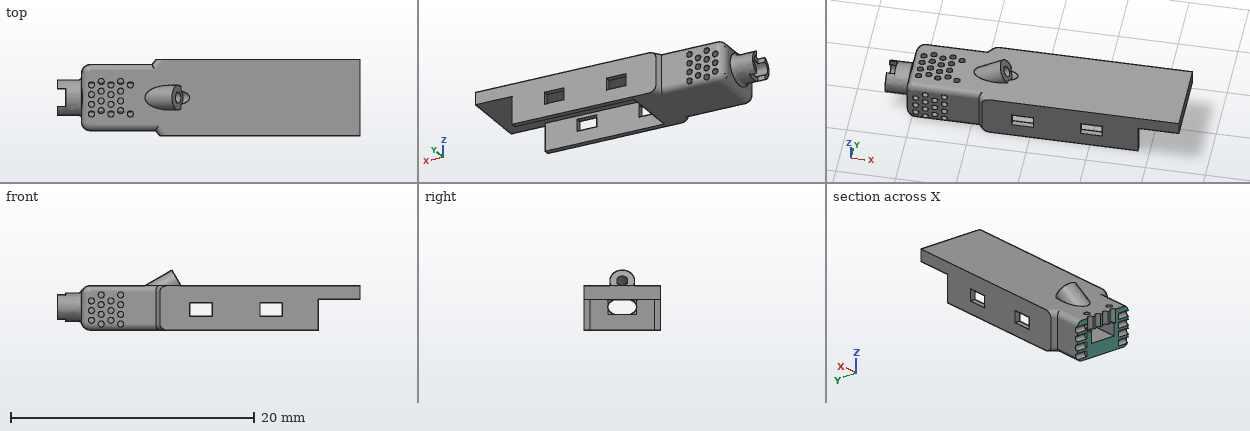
import cadquery as cq
import math

selection_margin = 0.02

length = 24.9
height = 3.68
wide_width = 6.3
head_width = 5.46
head_front = 1.97
shoulder_front = 8.09
shoulder_run = 0.33
shoulder_shift = 0.31
head_edge_radius = 0.53
front_edge_radius = 0.73

block_rear = 21.48
shelf_thickness = 1.13

axis_height = height - 1.77
nozzle_width = 2.92
nozzle_height = 2.34
nozzle_base_radius = 0.23
foot_margin = 0.22
foot_width = nozzle_width + 2 * foot_margin
foot_height = nozzle_height + 2 * foot_margin
bore_width = 2.38
bore_height = 1.48
tip_slot_width = 1.43
tip_slot_depth = 0.66

cavity_front = 10.4
wall_thickness = 0.5
channel_height = 1.2
channel_front = 2.45

window_length = 1.82
window_height = 1.08
window_bottom = 1.17
window_starts = (10.9, 16.67)

hole_diameter = 0.5
hole_pitch = 0.8
top_hole_depth = 1.25
side_hole_depth = 1.0
first_column_x = 2.8
top_row_odd = 1.05
top_row_even = 1.33
odd_columns = (0, 2)
even_columns = (1, 3)
last_column = 4
top_rows = 4
side_rows_odd = 3
side_rows_even = 4
side_row_odd = height - 1.26
side_row_even = height - 0.77

tube_tilt = 30
tube_diameter = 2.05
tube_bore = 0.9
tube_peak_x = 9.42
tube_peak_height = 4.96
tube_length = 2.8
tube_bore_depth = 3.6
relief_radius = 0.6
relief_tip_x = 10.87
relief_length = 2.0


def make_body():
    half_wide = wide_width / 2
    half_head = head_width / 2
    left_shoulder = shoulder_front - shoulder_shift
    outline = [
        (head_front, -half_head),
        (shoulder_front, -half_head),
        (shoulder_front + shoulder_run, -half_wide),
        (length, -half_wide),
        (length, half_wide),
        (left_shoulder + shoulder_run, half_wide),
        (left_shoulder, half_head),
        (head_front, half_head),
    ]
    body = cq.Workplane("XY").polyline(outline).close().extrude(height)
    body = body.faces("<X").edges().fillet(front_edge_radius)
    rim_end = shoulder_front + shoulder_run + selection_margin
    edge_zone = cq.selectors.BoxSelector(
        (head_front + front_edge_radius + selection_margin, -half_wide, -selection_margin),
        (rim_end, half_wide, height + selection_margin),
    )
    rims = body.faces("<Z or >Z").edges(edge_zone)
    return rims.fillet(head_edge_radius)


def ellipse_along_x(start, end, width, tall):
    plane = cq.Workplane("YZ", origin=(start, 0, axis_height))
    return plane.ellipse(width / 2, tall / 2).extrude(end - start)


def add_nozzle(body):
    """Oval nozzle that flares into a slightly larger oval foot on the rounded front."""
    backing = cq.Workplane("XY", origin=(head_front, 0, axis_height)).box(
        front_edge_radius, wide_width, wide_width, centered=(False, True, True)
    )
    nozzle = ellipse_along_x(0, channel_front, nozzle_width, nozzle_height).union(backing)
    base_zone = cq.selectors.BoxSelector(
        (head_front - selection_margin, -nozzle_width, axis_height - nozzle_height),
        (head_front + selection_margin, nozzle_width, axis_height + nozzle_height),
        boundingbox=True,
    )
    nozzle = nozzle.edges(base_zone).fillet(nozzle_base_radius)
    foot = ellipse_along_x(0, channel_front, foot_width, foot_height)
    return body.union(nozzle.intersect(foot))


def cut_passage(body):
    """Oval bore through the nozzle, tip slot and flat channel to the cavity."""
    body = body.cut(ellipse_along_x(0, channel_front, bore_width, bore_height))
    slot = cq.Workplane("XY").box(tip_slot_depth, tip_slot_width, height, centered=(False, True, False))
    channel = (
        cq.Workplane("XY", origin=(channel_front, 0, axis_height))
        .box(cavity_front - channel_front, bore_width, channel_height, centered=(False, True, True))
    )
    return body.cut(slot).cut(channel)


def cut_rear_step(body):
    step = cq.Workplane("XY", origin=(block_rear, 0, 0)).box(
        length - block_rear, wide_width, height - shelf_thickness, centered=(False, True, False)
    )
    return body.cut(step)


def cut_cavity(body):
    cavity = cq.Workplane("XY", origin=(cavity_front, 0, 0)).box(
        block_rear - cavity_front,
        wide_width - 2 * wall_thickness,
        height - shelf_thickness,
        centered=(False, True, False),
    )
    return body.cut(cavity)


def cut_windows(body):
    for start in window_starts:
        window = cq.Workplane("XY", origin=(start, 0, window_bottom)).box(
            window_length, wide_width, window_height, centered=(False, True, False)
        )
        body = body.cut(window)
    return body


def column_points(column, first, rows):
    """Hole centres down one column, spaced by the pitch."""
    x = first_column_x + column * hole_pitch
    return [(x, first - row * hole_pitch) for row in rows]


def cut_top_holes(body):
    points = []
    for column in odd_columns:
        points += column_points(column, top_row_odd, range(top_rows))
    for column in even_columns:
        points += column_points(column, top_row_even, range(top_rows))
    points += column_points(last_column, top_row_odd, (0, top_rows - 1))
    holes = (
        cq.Workplane("XY", origin=(0, 0, height - top_hole_depth))
        .pushPoints(points)
        .circle(hole_diameter / 2)
        .extrude(top_hole_depth)
    )
    return body.cut(holes)


def cut_side_holes(body):
    points = []
    for column in odd_columns:
        points += column_points(column, side_row_odd, range(side_rows_odd))
    for column in even_columns:
        points += column_points(column, side_row_even, range(side_rows_even))
    holes = (
        cq.Workplane("XZ", origin=(0, side_hole_depth - head_width / 2, 0))
        .pushPoints(points)
        .circle(hole_diameter / 2)
        .extrude(side_hole_depth)
    )
    return body.cut(holes).cut(holes.mirror("XZ"))


def tilted_cylinder(center_x, center_z, diameter, extent):
    """Cylinder from the given centre down the tilted axis, or up it for a negative extent."""
    tilt = math.radians(tube_tilt)
    plane = cq.Plane(
        origin=(center_x, 0, center_z),
        xDir=(0, 1, 0),
        normal=(-math.cos(tilt), 0, -math.sin(tilt)),
    )
    return cq.Workplane(plane).circle(diameter / 2).extrude(extent)


def add_tube(body):
    """Slanted tube, its bore and the relief groove in the top face in front of its mouth."""
    tilt = math.radians(tube_tilt)
    end_x = tube_peak_x + tube_diameter / 2 * math.sin(tilt)
    end_z = tube_peak_height - tube_diameter / 2 * math.cos(tilt)

    relief_entry_x = relief_tip_x - relief_radius / math.sin(tilt)
    along = (end_x - relief_entry_x) * math.cos(tilt) + (end_z - height) * math.sin(tilt)
    relief_x = relief_entry_x + along * math.cos(tilt)
    relief_z = height + along * math.sin(tilt)

    relief = tilted_cylinder(relief_x, relief_z, 2 * relief_radius, -relief_length)
    tube = tilted_cylinder(end_x, end_z, tube_diameter, tube_length)
    bore = tilted_cylinder(end_x, end_z, tube_bore, tube_bore_depth)
    return body.cut(relief).union(tube).cut(bore)


result = make_body()
result = add_nozzle(result)
result = add_tube(result)
result = cut_passage(result)
result = cut_rear_step(result)
result = cut_cavity(result)
result = cut_windows(result)
result = cut_top_holes(result)
result = cut_side_holes(result)